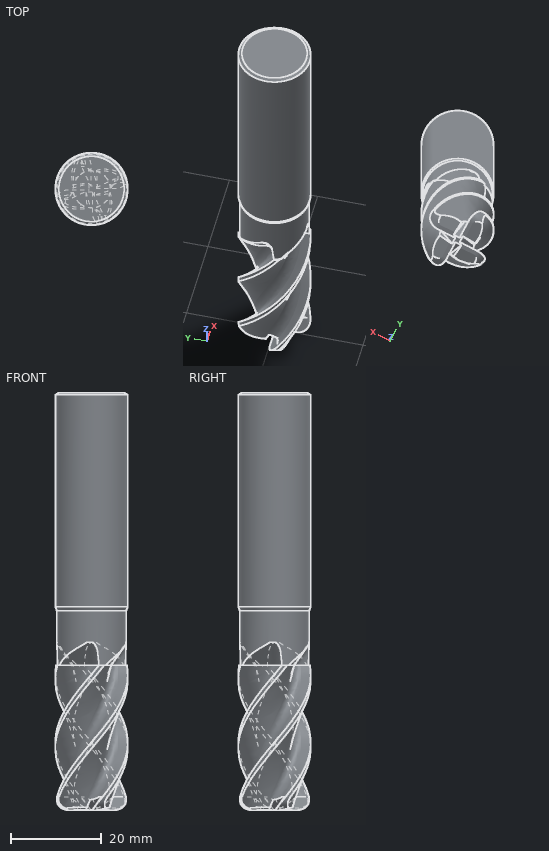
import cadquery as cq
import math


total_length = 92.0
tool_radius = 8.0
flute_length = 32.0
flute_count = 4
flute_pitch_angle = 360.0 / flute_count
helix_angle = 40.0
lead = 2 * math.pi * tool_radius / math.tan(math.radians(helix_angle))
twist = 360.0 * flute_length / lead

neck_radius = 7.7
neck_end = 44.0
neck_cone_angle = 20.0
shank_start = neck_end + (tool_radius - neck_radius) / math.tan(math.radians(neck_cone_angle))
chamfer_width = 0.8
chamfer_angle = 30.0
chamfer_height = chamfer_width * math.tan(math.radians(chamfer_angle))
runout_length = 5.0

land_angle = 8.5
edge_angle = -77.7
flank_start = (tool_radius, edge_angle + land_angle - flute_pitch_angle)
flank_middle = (5.9, -132.7)
flank_end = (4.47, -108.0)
floor_middle = (4.2, -87.0)
rake_root = (5.9, -76.5)
cutting_edge = (tool_radius, edge_angle)

corner_radius = 3.0
dish_angle = 0.5
dish_height = (tool_radius - corner_radius) * math.tan(math.radians(dish_angle))
end_land_width = 1.2
end_relief_angle = 13.0
gash_wall_offset = 0.15
gash_wall_slope = 0.7
gash_back_slope = 0.43
gash_height = corner_radius
gash_inner = 0.6
gash_depth_radius = 5.0
clearance = 2.0


def polar(position, turn=0.0):
    radius, angle = position
    direction = math.radians(angle + turn)
    return radius * math.cos(direction), radius * math.sin(direction)


def cutter_section(turn):
    """Closed outline of the fluted cutter, turned about Z."""
    outline = cq.Workplane("XY").moveTo(*polar(flank_start, turn))
    for index in range(flute_count):
        angle = turn + index * flute_pitch_angle
        land_middle = (tool_radius, edge_angle + land_angle / 2)
        land_end = (tool_radius, edge_angle + land_angle)
        outline = outline.threePointArc(polar(flank_middle, angle), polar(flank_end, angle))
        outline = outline.threePointArc(polar(floor_middle, angle), polar(rake_root, angle))
        outline = outline.lineTo(*polar(cutting_edge, angle))
        outline = outline.threePointArc(polar(land_middle, angle), polar(land_end, angle))
    return outline.close()


def tip_envelope():
    """Body of revolution with rounded corners and a slightly dished end."""
    outer = tool_radius + clearance
    diagonal = corner_radius * (1 - math.sqrt(0.5))
    return (
        cq.Workplane("XZ")
        .moveTo(0, dish_height)
        .lineTo(tool_radius - corner_radius, 0)
        .threePointArc((tool_radius - diagonal, diagonal), (tool_radius, corner_radius))
        .lineTo(outer, corner_radius)
        .lineTo(outer, flute_length + clearance)
        .lineTo(0, flute_length + clearance)
        .close()
        .revolve(360, (0, 0, 0), (0, 1, 0))
    )


def end_relief():
    """Wedge that raises the end face behind the end land of the tooth along +X."""
    reach = tool_radius + clearance
    rise = (reach - end_land_width) * math.tan(math.radians(end_relief_angle))
    far_side = (reach, -clearance)
    land_side = (end_land_width, -clearance)
    return (
        cq.Workplane("YZ")
        .polyline([(end_land_width, 0), (reach, rise), far_side, land_side])
        .close()
        .extrude(reach)
    )


def gash():
    """Notch in front of the +X tooth: two leaning walls and a floor that climbs outwards."""
    reach = tool_radius + clearance
    wall_side = (
        cq.Workplane("YZ")
        .polyline([
            (gash_wall_offset - gash_wall_slope * clearance, -clearance),
            (gash_wall_offset + gash_wall_slope * gash_height, gash_height),
            (0, gash_height),
            (-gash_back_slope * (gash_height + clearance), -clearance),
        ])
        .close()
        .extrude(reach)
    )
    floor_side = (
        cq.Workplane("XZ")
        .polyline([
            (gash_inner, -clearance),
            (gash_inner, 0),
            (gash_depth_radius, gash_height),
            (reach, gash_height),
            (reach, -clearance),
        ])
        .close()
        .extrude(reach, both=True)
    )
    return wall_side.intersect(floor_side)


def runout():
    """Flute continued above the cutter, moving straight outwards until it leaves the neck."""
    reach = tool_radius + 3 * clearance
    edge_x = polar(cutting_edge)[0]
    flank_x, flank_y = polar(flank_start)
    section = (
        cq.Workplane("XY")
        .workplane(offset=flute_length)
        .moveTo(flank_x, flank_y)
        .threePointArc(polar(flank_middle), polar(flank_end))
        .threePointArc(polar(floor_middle), polar(rake_root))
        .lineTo(*polar(cutting_edge))
        .lineTo(edge_x, -reach)
        .lineTo(flank_x - clearance, -reach)
        .lineTo(flank_x - clearance, flank_y + clearance / 2)
        .close()
    )
    floor_depth = neck_radius - floor_middle[0]
    path = cq.Vector(0, -floor_depth, runout_length)
    return cq.Workplane(cq.Solid.extrudeLinear(section.val(), [], path))


def around_axis(tool, index):
    return tool.rotate((0, 0, 0), (0, 0, 1), index * flute_pitch_angle)


cutter = cutter_section(-twist).twistExtrude(flute_length, twist)
cutter = cutter.intersect(tip_envelope())
for tooth in range(flute_count):
    cutter = cutter.cut(around_axis(end_relief(), tooth))
    cutter = cutter.cut(around_axis(gash(), tooth))

shank = (
    cq.Workplane("XZ")
    .polyline([
        (0, flute_length),
        (neck_radius, flute_length),
        (neck_radius, neck_end),
        (tool_radius, shank_start),
        (tool_radius, total_length - chamfer_height),
        (tool_radius - chamfer_width, total_length),
        (0, total_length),
    ])
    .close()
    .revolve(360, (0, 0, 0), (0, 1, 0))
)
for flute in range(flute_count):
    shank = shank.cut(around_axis(runout(), flute))

result = cq.Compound.makeCompound([cutter.val(), shank.val()])